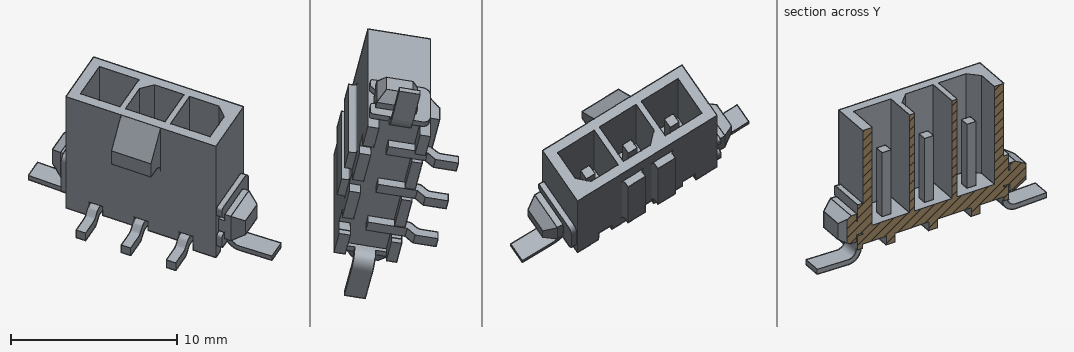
import cadquery as cq
import math


overall_length = 16.25
body_length = 10.01
body_depth = 3.85
body_height = 9.23
front_y = -body_depth / 2
back_y = body_depth / 2

pitch = 3.0
pin_size = 0.63
pin_x = (-pitch, 0.0, pitch)

pocket_size = 2.63
pocket_floor_z = 2.28
pocket_chamfer = 0.68

channel_front_y = -1.28
channel_back_y = 1.24
channel_top_z = 1.12
slot_width = 0.93
wall_lift = 0.39
foot_inner_x = 3.5

latch_width = pocket_size
latch_reach = 1.33
latch_lip_top_z = 7.4
latch_lip_bottom_z = 6.3
latch_fillet = 0.65

rib_spacing = 2.15
rib_width = 1.25
rib_reach = 0.49
rib_bottom_z = 1.41
rib_top_z = 7.82
rib_base_fillet = 0.18

pin_top_z = 6.82
pin_reach = 2.06
tail_shoulder_z = 1.14
bend_top_offset = 0.35
bend_bottom_offset = 0.16
bend_run = 0.49
bend_radius = 0.39

clip_thickness = 0.35
plate_half_depth = 1.84
plate_bottom_z = 0.83
plate_top_z = 4.06
plate_front_radius = 0.52
plate_tip_radius = 0.16
prong_chamfer = 0.5
prong_chamfer_radius = 0.2
prong_lower_radius = 0.25
slot_clearance = 0.06
clip_leg_width = 1.28
clip_leg_drop = 0.1
clip_bend_inner_radius = plate_bottom_z + clip_leg_drop - clip_thickness
clip_leg_tilt = 1.5

lug_back_y = 1.55
lug_front_y = -0.96
lug_bottom_z = 1.41
lug_top_z = 3.43
neck_bottom_z = 1.92
neck_top_z = 2.91
neck_length = 0.4
lug_straight = 0.4
lug_taper_length = 0.76
lug_taper_inset = 0.44


def block(x_range, y_range, z_range):
    """Box spanning the given ranges."""
    size = [high - low for low, high in (x_range, y_range, z_range)]
    corner = (x_range[0], y_range[0], z_range[0])
    return cq.Workplane("XY").box(*size, centered=False).translate(corner)


def pocket(x, chamfered_corner=None):
    """Square pocket open at the top, with one back corner optionally cut off."""
    half = pocket_size / 2
    cutter = block((x - half, x + half), (-half, half), (pocket_floor_z, body_height))
    if chamfered_corner:
        cutter = cutter.edges(chamfered_corner).chamfer(pocket_chamfer)
    return cutter


def housing():
    """Shell with three pockets and a slotted, open-ended underside."""
    half_length = body_length / 2
    body = block((-half_length, half_length), (front_y, back_y), (0, body_height))
    body = body.cut(pocket(-pitch))
    body = body.cut(pocket(0, "|Z and <X and >Y"))
    body = body.cut(pocket(pitch, "|Z and >X and >Y"))

    channel_range = (channel_front_y, channel_back_y)
    body = body.cut(block((-half_length, half_length), channel_range, (0, channel_top_z)))
    body = body.cut(block((-foot_inner_x, foot_inner_x), (front_y, back_y), (0, wall_lift)))
    for x in pin_x:
        slot_range = (x - slot_width / 2, x + slot_width / 2)
        body = body.cut(block(slot_range, (front_y, back_y), (0, channel_top_z)))
    return body


def latch():
    """Ramp on the front face with a concave fillet under its lip."""
    lip_y = front_y - latch_reach
    arc_y = front_y - latch_fillet
    arc_z = latch_lip_bottom_z - latch_fillet
    arc_middle = latch_fillet * math.sqrt(0.5)
    return (
        cq.Workplane("YZ")
        .moveTo(front_y, body_height)
        .lineTo(lip_y, latch_lip_top_z)
        .lineTo(lip_y, latch_lip_bottom_z)
        .lineTo(arc_y, latch_lip_bottom_z)
        .threePointArc((arc_y + arc_middle, arc_z + arc_middle), (front_y, arc_z))
        .close()
        .extrude(latch_width / 2, both=True)
    )


def rib(x):
    """Vertical rib on the back face, flared where it meets the housing."""
    half = rib_width / 2
    tip_y = back_y + rib_reach
    flare_y = back_y + rib_base_fillet
    return (
        cq.Workplane("XY", origin=(x, 0, rib_bottom_z))
        .moveTo(half, tip_y)
        .lineTo(half, flare_y)
        .radiusArc((half + rib_base_fillet, back_y), -rib_base_fillet)
        .lineTo(-half - rib_base_fillet, back_y)
        .radiusArc((-half, flare_y), -rib_base_fillet)
        .lineTo(-half, tip_y)
        .close()
        .extrude(rib_top_z - rib_bottom_z)
    )


def pin(x):
    """Square contact post with a tail that leaves under the front wall and steps down."""
    half = pin_size / 2
    tip_y = front_y - pin_reach
    under_z = tail_shoulder_z - pin_size
    bend_top_y = front_y - bend_top_offset
    bend_bottom_y = front_y - bend_bottom_offset
    upper_bend = (bend_top_y, tail_shoulder_z)
    lower_bend = (bend_top_y - bend_run, pin_size)
    outline = [
        (half, under_z),
        (half, pin_top_z),
        (-half, pin_top_z),
        (-half, tail_shoulder_z),
        upper_bend,
        lower_bend,
        (tip_y, pin_size),
        (tip_y, 0),
        (bend_bottom_y - bend_run, 0),
        (bend_bottom_y, under_z),
    ]
    contact = cq.Workplane("YZ").polyline(outline).close().extrude(half, both=True)
    for y, z in (upper_bend, lower_bend):
        contact = contact.edges(cq.selectors.NearestToPointSelector((0, y, z))).fillet(bend_radius)
    return contact.translate((x, 0, 0))


def clip_plate():
    """Flat plate against the housing end, slotted from its back edge around the lug neck."""
    inner_x = -body_length / 2
    x_range = (inner_x - clip_thickness, inner_x)
    plate = block(x_range, (-plate_half_depth, plate_half_depth), (plate_bottom_z, plate_top_z))
    plate = plate.edges("|X and <Y").fillet(plate_front_radius)
    plate = plate.edges("|X and >Y").fillet(plate_tip_radius)

    slot_bottom_z = neck_bottom_z - slot_clearance
    plate = plate.cut(block(x_range, (lug_front_y, plate_half_depth), (slot_bottom_z, neck_top_z)))

    def edge_near(y, z):
        return plate.edges(cq.selectors.NearestToPointSelector((inner_x - clip_thickness / 2, y, z)))

    plate = edge_near(plate_half_depth, slot_bottom_z).fillet(prong_lower_radius)
    plate = edge_near(plate_half_depth, neck_top_z).chamfer(prong_chamfer)
    plate = edge_near(plate_half_depth, neck_top_z + prong_chamfer).fillet(prong_chamfer_radius)
    plate = edge_near(plate_half_depth - prong_chamfer, neck_top_z).fillet(prong_chamfer_radius)
    return plate


def clip_leg():
    """Solder leg that curls outward from the plate and ends slightly raised."""
    inner_radius = clip_bend_inner_radius
    outer_radius = inner_radius + clip_thickness
    center_x = -body_length / 2 - outer_radius
    center_z = plate_bottom_z
    tip_x = -overall_length / 2
    end_angle = -90 - clip_leg_tilt

    def on_bend(radius, degrees):
        angle = math.radians(degrees)
        return center_x + radius * math.cos(angle), center_z + radius * math.sin(angle)

    def at_tip(radius):
        start_x, start_z = on_bend(radius, end_angle)
        return tip_x, start_z + (start_x - tip_x) * math.tan(math.radians(clip_leg_tilt))

    return (
        cq.Workplane("XZ")
        .moveTo(*on_bend(outer_radius, 0))
        .threePointArc(on_bend(outer_radius, end_angle / 2), on_bend(outer_radius, end_angle))
        .lineTo(*at_tip(outer_radius))
        .lineTo(*at_tip(inner_radius))
        .lineTo(*on_bend(inner_radius, end_angle))
        .threePointArc(on_bend(inner_radius, end_angle / 2), on_bend(inner_radius, 0))
        .close()
        .extrude(clip_leg_width / 2, both=True)
    )


def lug():
    """Neck from the housing end that carries a wider head with a tapered tip."""
    middle_y = (lug_back_y + lug_front_y) / 2
    middle_z = (lug_bottom_z + lug_top_z) / 2
    depth = lug_back_y - lug_front_y
    height = lug_top_z - lug_bottom_z
    head_x = -body_length / 2 - neck_length
    taper_x = head_x - lug_straight

    y_range = (lug_front_y, lug_back_y)
    neck = block((head_x, -body_length / 2), y_range, (neck_bottom_z, neck_top_z))
    head = block((taper_x, head_x), y_range, (lug_bottom_z, lug_top_z))
    taper = (
        cq.Workplane("YZ", origin=(taper_x, middle_y, middle_z))
        .rect(depth, height)
        .workplane(offset=-lug_taper_length)
        .rect(depth - 2 * lug_taper_inset, height - 2 * lug_taper_inset)
        .loft()
    )
    return neck.union(head).union(taper)


result = housing().union(latch())
for rib_x in (-rib_spacing / 2, rib_spacing / 2):
    result = result.union(rib(rib_x))
for x in pin_x:
    result = result.union(pin(x))

end_fitting = clip_plate().union(clip_leg()).union(lug())
for turn in (0, 180):
    result = result.union(end_fitting.rotate((0, 0, 0), (0, 0, 1), turn))